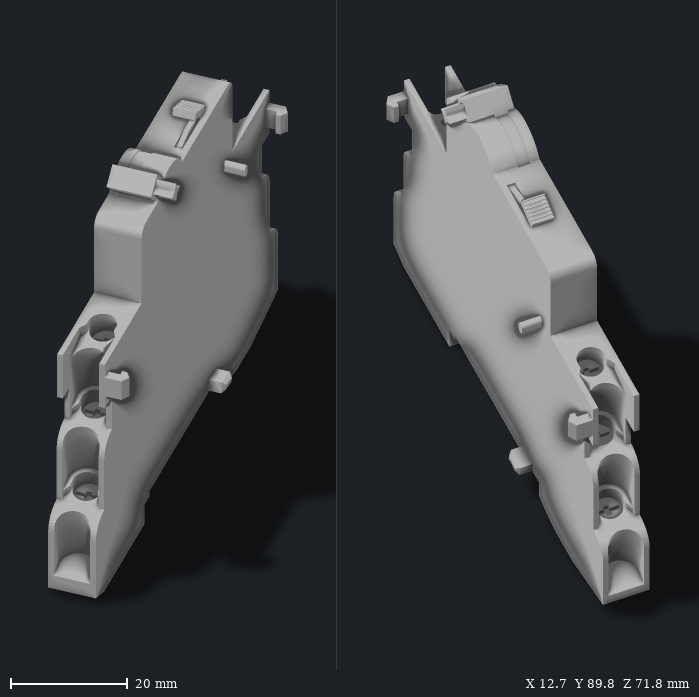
import cadquery as cq
import math


BODY_THICK = 8.7
HALF_LENGTH = 44.9
TILT = 15.0
SLOPE = math.tan(math.radians(TILT))
ROUND_R = 3.8
NOSE_PITCH = 4.1
NOSE_CENTER_Z = (13.8, 28.7)
NECK_HALF = 37.0
FLANGE_HALF = 40.5
FLANGE_BOTTOM_Z = 39.9
FLANGE_TOP_Z = 49.3
TOWER_HALF = 22.4
TOWER_TOP_Z = 65.5
TOWER_CORNER_R = 2.2
RAIL_TOP_Z = 5.4
RAIL_BACK_Y = 17.5
RAIL_FRONT_Y = -18.6
RAIL_LIP_Y = -21.0
RAIL_LIP_Z = 4.3
FRONT_BEVEL = (4.1, 1.5)
BACK_BEVEL = (13.2, 2.5)
BACK_TOE = ((RAIL_BACK_Y, 2.1), (19.85, 1.0), (24.3, 0))

MID_X = BODY_THICK / 2
GROOVE_R = 3.3
BORE_R = 2.5
LEDGE_RISE = 1.6
TOP_SHELF_EDGE = (33.9, 46.25)
BORE_SETBACK = 4.8
BORE_DEPTHS = (1.8, 1.8, 3.5)
BOTTOM_ENTRY_Z = 4.4
BOTTOM_ENTRY_AXIS = 2.5
OPENING_RISES = (LEDGE_RISE, LEDGE_RISE, 5.4)
FLARE_LENGTH = 1.35
FLARE_HALF = 2.5
REACH = 18.0

CROSS_LONG = (4.5, 0.7)
CROSS_SHORT = (1.1, 1.8)
CROSS_DEPTH = 1.3

DIAL_R = 7.5
DIAL_Y = -8.6
DIAL_TOP_Z = 68.9
DIAL_Z = DIAL_TOP_Z - DIAL_R
BAND_X = 1.8
BAND_WIDTH = 2.3
BAND_DROP = 0.2
BAND_SLOT_HALF = 6.65
BAND_SLOT_DEPTH = 0.9
TOGGLE_Y = -14.8
TOGGLE_Z = 69.0
TOGGLE_SIDE = 4.0
TOGGLE_TURN = 43.0
TOGGLE_X = 0.5
STEM_LENGTH = 0.5
STAR_TIP = 1.9
STAR_SHOULDER = (1.3, 0.4)
STAR_WAIST = 0.58
SOCKET_DEPTH = 1.35
STAR_PEG_LENGTH = 3.5

BUTTON_X = 3.4
BUTTON_WIDTH = 4.1
BUTTON_LENGTH = 4.7
BUTTON_THICK = 1.2
BUTTON_TURN = -20.0
BUTTON_Y = 9.4
BUTTON_Z = 66.9
RIB_COUNT = 7
RIB_SIZE = 0.3
POINTER_SLOT_X = 5.9
POINTER_SLOT_WIDTH = 1.6
POINTER_SLOT_DEPTH = 0.45
POINTER_WIDTH = 0.9
POINTER_Y = (11.7, 9.9, 5.0, 0.9)
POINTER_RISE = 0.8

COUPLING_REACH = 3.95
HOOK_Z = 42.5
HOOK_HEIGHT = 4.0
HOOK_THICK = 1.8
HOOK_ROOT = 0.9
HOOK_BARB_X = 2.2
HOOK_NOSE_X = 3.05
HOOK_TIP_DROP = 1.5
HOOK_BARB_DROP = 2.8
PIN_Y = 18.5
PIN_Z = 49.0
PIN_HEIGHT = 2.25
PIN_WIDTH = 1.4
SLIDER_Y = 12.7
SLIDER_Z = 6.65
SLIDER_LENGTH = 4.0
SLIDER_HEIGHT = 2.2
SLIDER_TURN = -8.0
SLIDER_REACH = 3.0
RECESS_DEPTH = 5.4
SLIDER_CHAMFER = 0.6


def side_plane(x, y=0.0, z=0.0):
    """Sketch plane facing +X: local x is +Y, local y is +Z."""
    return cq.Workplane(cq.Plane(origin=(x, y, z), xDir=(0, 1, 0), normal=(1, 0, 0)))


def mirrored(solid):
    return solid.mirror("XZ")


def nose(index):
    """Start, middle and end of a nose arc, then the inner end of its sloping shelf."""
    center_y = HALF_LENGTH - ROUND_R - index * NOSE_PITCH
    center_z = NOSE_CENTER_Z[index]

    def on_arc(lean):
        angle = math.radians(lean)
        return (center_y + ROUND_R * math.sin(angle), center_z + ROUND_R * math.cos(angle))

    end = on_arc(TILT)
    wall_y = (HALF_LENGTH - NOSE_PITCH, NECK_HALF)[index]
    foot = (wall_y, end[1] + (end[0] - wall_y) * SLOPE)
    return on_arc(90), on_arc((90 + TILT) / 2), end, foot


def body():
    def flip(point):
        return (-point[0], point[1])

    low, high = nose(0), nose(1)
    outline = (
        side_plane(0)
        .moveTo(HALF_LENGTH, BACK_BEVEL[1])
        .lineTo(*low[0]).threePointArc(low[1], low[2]).lineTo(*low[3])
        .lineTo(*high[0]).threePointArc(high[1], high[2]).lineTo(*high[3])
        .lineTo(NECK_HALF, FLANGE_BOTTOM_Z)
        .lineTo(FLANGE_HALF, FLANGE_BOTTOM_Z)
        .lineTo(FLANGE_HALF, FLANGE_TOP_Z)
        .lineTo(TOWER_HALF, FLANGE_TOP_Z)
        .lineTo(TOWER_HALF, TOWER_TOP_Z)
        .lineTo(-TOWER_HALF, TOWER_TOP_Z)
        .lineTo(-TOWER_HALF, FLANGE_TOP_Z)
        .lineTo(-FLANGE_HALF, FLANGE_TOP_Z)
        .lineTo(-FLANGE_HALF, FLANGE_BOTTOM_Z)
        .lineTo(-NECK_HALF, FLANGE_BOTTOM_Z)
        .lineTo(*flip(high[3])).lineTo(*flip(high[2])).threePointArc(flip(high[1]), flip(high[0]))
        .lineTo(*flip(low[3])).lineTo(*flip(low[2])).threePointArc(flip(low[1]), flip(low[0]))
        .lineTo(-HALF_LENGTH, FRONT_BEVEL[1])
        .lineTo(FRONT_BEVEL[0] - HALF_LENGTH, 0)
        .lineTo(RAIL_LIP_Y, 0)
        .lineTo(RAIL_LIP_Y, RAIL_LIP_Z)
        .lineTo(RAIL_FRONT_Y, RAIL_LIP_Z)
        .lineTo(RAIL_FRONT_Y, RAIL_TOP_Z)
        .lineTo(RAIL_BACK_Y, RAIL_TOP_Z)
        .lineTo(*BACK_TOE[0]).lineTo(*BACK_TOE[1]).lineTo(*BACK_TOE[2])
        .lineTo(HALF_LENGTH - BACK_BEVEL[0], 0)
        .close()
        .extrude(BODY_THICK)
    )
    tower_edges = cq.selectors.BoxSelector(
        (-0.9, -TOWER_HALF - 0.9, TOWER_TOP_Z - 0.9), (BODY_THICK + 0.9, TOWER_HALF + 0.9, TOWER_TOP_Z + 0.9)
    )
    return outline.edges("|X").edges(tower_edges).fillet(TOWER_CORNER_R)


def shelf_plane(edge, setback, rise=0.0):
    """Plane parallel to a shelf, set back inward from its edge: local x is +X, local y points outward."""
    plane = cq.Plane(
        origin=(MID_X, edge[0], edge[1]),
        xDir=(1, 0, 0),
        normal=(0, math.sin(math.radians(TILT)), math.cos(math.radians(TILT))),
    )
    return cq.Workplane(plane).center(0, -setback).workplane(offset=rise)


def groove(edge, setback, rise, height):
    """U-shaped channel, open outward."""
    return (
        shelf_plane(edge, setback, rise)
        .moveTo(GROOVE_R, 0)
        .lineTo(GROOVE_R, REACH)
        .lineTo(-GROOVE_R, REACH)
        .lineTo(-GROOVE_R, 0)
        .threePointArc((0, -GROOVE_R), (GROOVE_R, 0))
        .close()
        .extrude(height)
    )


def shelf_opening(edge, height):
    """Space above a shelf: full width outside, flaring in to the bore."""
    flare_start = BORE_R
    flare_end = flare_start - FLARE_LENGTH
    return (
        shelf_plane(edge, BORE_SETBACK)
        .polyline([
            (GROOVE_R, REACH), (GROOVE_R, flare_start), (FLARE_HALF, flare_end), (FLARE_HALF, 0),
            (-FLARE_HALF, 0), (-FLARE_HALF, flare_end), (-GROOVE_R, flare_start), (-GROOVE_R, REACH),
        ])
        .close()
        .extrude(height)
    )


def screw_bore(edge, depth, height):
    """Bore down to the screw head, with the cross sunk into the head."""
    bore = shelf_plane(edge, BORE_SETBACK, -depth).circle(BORE_R).extrude(depth + height)
    cross_floor = shelf_plane(edge, BORE_SETBACK, -depth - CROSS_DEPTH)
    cross = cross_floor.rect(*CROSS_LONG).extrude(CROSS_DEPTH)
    cross = cross.union(cross_floor.rect(*CROSS_SHORT).extrude(CROSS_DEPTH))
    return bore.union(cross)


def below_shelf(solid, edge):
    """Keep only what lies under the plane of a shelf."""
    return solid.cut(shelf_plane(edge, 0).rect(4 * REACH, 4 * REACH).extrude(2 * REACH))


def wire_entries():
    shelf_edges = (nose(0)[2], nose(1)[2], TOP_SHELF_EDGE)
    bottom_edge = (HALF_LENGTH, BOTTOM_ENTRY_Z)
    entries = below_shelf(groove(bottom_edge, BOTTOM_ENTRY_AXIS, 0, REACH), shelf_edges[0])
    for edge, next_edge in zip(shelf_edges, shelf_edges[1:]):
        channel = groove(edge, BORE_SETBACK, LEDGE_RISE, REACH)
        entries = entries.union(below_shelf(channel, next_edge))
    for edge, depth, rise in zip(shelf_edges, BORE_DEPTHS, OPENING_RISES):
        entries = entries.union(shelf_opening(edge, rise)).union(screw_bore(edge, depth, rise))
    return entries


def star(x, length):
    along, across = STAR_SHOULDER
    quarter = [(STAR_TIP, 0), (along, across), (STAR_WAIST, STAR_WAIST), (across, along)]
    points = []
    for _ in range(4):
        points.extend(quarter)
        quarter = [(-v, u) for u, v in quarter]
    return side_plane(x, TOGGLE_Y, TOGGLE_Z).polyline(points).close().extrude(length)


def add_dial(part):
    dial = side_plane(0, DIAL_Y, DIAL_Z).circle(DIAL_R).extrude(BODY_THICK)
    slot_floor = TOWER_TOP_Z - BAND_SLOT_DEPTH
    slot = cq.Workplane().box(
        BAND_WIDTH, 2 * BAND_SLOT_HALF, REACH, centered=(False, True, False)
    ).translate((BAND_X, DIAL_Y, slot_floor))
    band = side_plane(BAND_X, DIAL_Y, DIAL_Z).circle(DIAL_R - BAND_DROP).extrude(BAND_WIDTH)
    return part.union(dial).cut(slot).union(band)


def add_toggle(part):
    def square_bar(x, length, shift):
        return (
            side_plane(x, TOGGLE_Y, TOGGLE_Z)
            .transformed(rotate=(0, 0, TOGGLE_TURN))
            .center(0, -shift)
            .rect(TOGGLE_SIDE, TOGGLE_SIDE)
            .extrude(length)
        )

    block = square_bar(TOGGLE_X, BODY_THICK - TOGGLE_X, 0)
    stem = square_bar(BAND_X, BAND_WIDTH, STEM_LENGTH)
    part = part.union(block).union(stem)
    return part.cut(star(TOGGLE_X, SOCKET_DEPTH)).union(star(BODY_THICK, STAR_PEG_LENGTH))


def add_button(part):
    def button_sketch():
        return side_plane(BUTTON_X, BUTTON_Y, BUTTON_Z).transformed(rotate=(0, 0, BUTTON_TURN))

    button = button_sketch().rect(BUTTON_LENGTH, BUTTON_THICK).extrude(BUTTON_WIDTH)
    rib_pitch = (BUTTON_LENGTH - RIB_SIZE) / (RIB_COUNT - 1)
    rib_places = [((i - (RIB_COUNT - 1) / 2) * rib_pitch, BUTTON_THICK / 2) for i in range(RIB_COUNT)]
    ribs = button_sketch().pushPoints(rib_places).rect(RIB_SIZE, 2 * RIB_SIZE).extrude(BUTTON_WIDTH)
    return part.union(button).union(ribs)


def add_pointer(part):
    tail, root, knee, tip = POINTER_Y
    floor = TOWER_TOP_Z - POINTER_SLOT_DEPTH
    slot = (
        side_plane(POINTER_SLOT_X)
        .polyline([(root, floor), (tip, floor), (tip, REACH + floor), (root, REACH + floor)])
        .close()
        .extrude(POINTER_SLOT_WIDTH)
    )
    crest = TOWER_TOP_Z + POINTER_RISE
    pointer = (
        side_plane(POINTER_SLOT_X + (POINTER_SLOT_WIDTH - POINTER_WIDTH) / 2)
        .polyline([(tail, floor), (root, crest), (knee, crest), (tip, floor)])
        .close()
        .extrude(POINTER_WIDTH)
    )
    return part.cut(slot).union(pointer)


def hook():
    """Snap hook on the +X side, drawn in X and Y, barb pointing inward."""
    root_x = BODY_THICK - HOOK_ROOT
    barb_x = BODY_THICK + HOOK_BARB_X
    nose_x = BODY_THICK + HOOK_NOSE_X
    outer_y = FLANGE_HALF
    inner_y = outer_y - HOOK_THICK
    barb_y = outer_y - HOOK_BARB_DROP
    tip = (BODY_THICK + COUPLING_REACH, outer_y - HOOK_TIP_DROP)
    return (
        cq.Workplane("XY", origin=(0, 0, HOOK_Z))
        .polyline([
            (root_x, outer_y), (nose_x, outer_y), tip, (nose_x, barb_y),
            (barb_x, barb_y), (barb_x, inner_y), (root_x, inner_y),
        ])
        .close()
        .extrude(HOOK_HEIGHT)
    )


def slider(x, length, extra_below=0.0):
    return (
        side_plane(x, SLIDER_Y, SLIDER_Z)
        .transformed(rotate=(0, 0, SLIDER_TURN))
        .center(0, -extra_below / 2)
        .rect(SLIDER_LENGTH, SLIDER_HEIGHT + extra_below)
        .extrude(length)
    )


def add_couplings(part):
    pin = (
        side_plane(BODY_THICK, PIN_Y, PIN_Z)
        .slot2D(PIN_HEIGHT, PIN_WIDTH, 90)
        .extrude(COUPLING_REACH)
    )
    peg = slider(BODY_THICK, SLIDER_REACH).faces(">X").chamfer(SLIDER_CHAMFER)
    recess = slider(0, RECESS_DEPTH, SLIDER_HEIGHT)
    return part.union(hook()).union(mirrored(hook())).union(pin).union(peg).cut(recess)


entries = wire_entries()
result = body().cut(entries).cut(mirrored(entries))
result = add_dial(result)
result = add_toggle(result)
result = add_pointer(result)
result = add_button(result)
result = add_couplings(result)